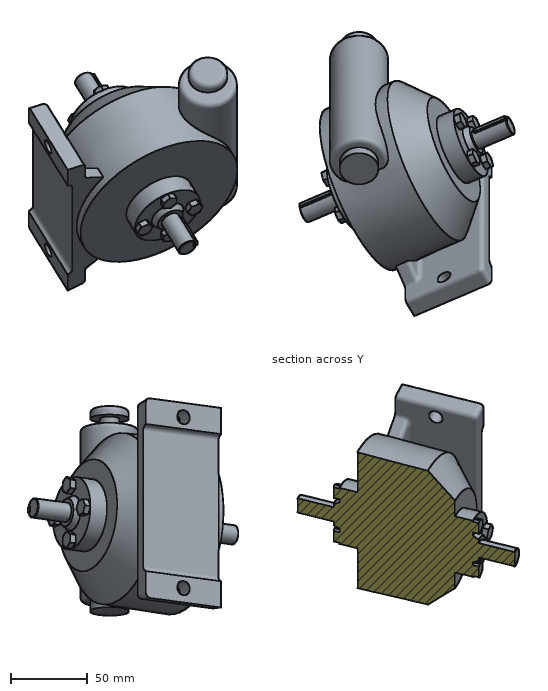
import cadquery as cq
import math


SIDES = (-1, 1)
EDGE_RADIUS = 3.2

SHAFT_LENGTH = 152.4
SHAFT_RADIUS = 6.4
SHAFT_CHAMFER = 0.5
KEY_WIDTH = 3.2
KEY_TOP = 7.6
KEY_HEIGHT = 3.2
KEY_SETBACK = 0.5
KEY_END = 52.5

CASE_END = 34.3
CASE_RADIUS = 57.2
CASE_DRAFT = 1.0
SHOULDER_X = -15.2
NOSE_RADIUS = 36.7

HUB_END = 46.8
HUB_RADIUS = 23.8
HEAD_HEIGHT = 4.1
COLLAR_BASE_RADIUS = 11.5
COLLAR_TIP_RADIUS = 9.1
BOLT_COUNT = 4
BOLT_FLATS = 9.6
BOLT_CORNERS = BOLT_FLATS / math.cos(math.radians(30))
BOLT_CIRCLE_RADIUS = HUB_RADIUS - BOLT_CORNERS / 2

WORM_X = 10.4
WORM_RADIUS = 19.0
WORM_Y = 47.5
CAP_RADIUS = 12.6
NECK_RADIUS = 6.4
CAP_TOP = 85.6
CAP_HEIGHT = 6.4
NECK_HEIGHT = 6.4
WORM_TOP = CAP_TOP - CAP_HEIGHT - NECK_HEIGHT
WORM_BOTTOM = -43.1
BOSS_HEIGHT = 6.4

FOOT_FACE_Y = -63.5
FOOT_THICKNESS = 12.6
FOOT_BACK_Y = FOOT_FACE_Y + FOOT_THICKNESS
FOOT_WIDTH = 57.2
FOOT_HALF_WIDTH = FOOT_WIDTH / 2
FOOT_HALF_HEIGHT = SHAFT_LENGTH - CAP_TOP
FOOT_DRAFT = 7.0
RECESS_DEPTH = 3.2
RECESS_HALF_HEIGHT = 49.2
RECESS_WALL_ANGLE = 30.0
MOUNT_HOLE_Z = 57.2
MOUNT_HOLE_DIAMETER = 9.5

WEB_THICKNESS = 10.0
WEB_HALF_HEIGHT = 50.5
WEB_SLOPE = 30.0
WEB_END_Y = -30.5


def frustum(x_start, x_end, radius_start, radius_end):
    """Solid of revolution about the X axis with a straight side."""
    return (
        cq.Workplane("XY")
        .moveTo(x_start, 0)
        .lineTo(x_start, radius_start)
        .lineTo(x_end, radius_end)
        .lineTo(x_end, 0)
        .close()
        .revolve(360, (0, 0, 0), (1, 0, 0))
    )


def vertical_cylinder(radius, z_bottom, z_top):
    """Cylinder on the worm axis."""
    return (
        cq.Workplane("XY", origin=(WORM_X, WORM_Y, z_bottom))
        .circle(radius)
        .extrude(z_top - z_bottom)
    )


def make_case():
    draft_loss = (CASE_END - SHOULDER_X) * math.tan(math.radians(CASE_DRAFT))
    shoulder_radius = CASE_RADIUS - draft_loss
    drum = frustum(SHOULDER_X, CASE_END, shoulder_radius, CASE_RADIUS)
    nose = frustum(-CASE_END, SHOULDER_X, NOSE_RADIUS, shoulder_radius)
    return drum.union(nose)


def make_shaft():
    """Shaft with a key and an open keyway at each end."""
    shaft = (
        cq.Workplane("YZ", origin=(-SHAFT_LENGTH / 2, 0, 0))
        .circle(SHAFT_RADIUS)
        .extrude(SHAFT_LENGTH)
        .faces("<X or >X")
        .chamfer(SHAFT_CHAMFER)
    )
    for side in SIDES:
        keyway = key_prism(side, SHAFT_LENGTH / 2)
        key = key_prism(side, SHAFT_LENGTH / 2 - KEY_SETBACK)
        shaft = shaft.cut(keyway).union(key)
    return shaft


def key_prism(side, outer_distance):
    """Key shape on the +Y side of one shaft end, rounded at its inner end."""
    outer_x = side * outer_distance
    round_center_x = side * (KEY_END + KEY_WIDTH / 2)
    half_width = KEY_WIDTH / 2
    return (
        cq.Workplane("XZ", origin=(0, KEY_TOP, 0))
        .moveTo(outer_x, -half_width)
        .lineTo(round_center_x, -half_width)
        .threePointArc((side * KEY_END, 0), (round_center_x, half_width))
        .lineTo(outer_x, half_width)
        .close()
        .extrude(KEY_HEIGHT)
    )


def make_hub(side):
    """Bearing hub with its seal collar and hexagon bolt heads."""
    head_end = HUB_END + HEAD_HEIGHT
    hub = frustum(0, side * HUB_END, HUB_RADIUS, HUB_RADIUS)
    collar = frustum(side * HUB_END, side * head_end, COLLAR_BASE_RADIUS, COLLAR_TIP_RADIUS)
    bolts = (
        cq.Workplane("YZ", origin=(side * HUB_END, 0, 0))
        .polarArray(BOLT_CIRCLE_RADIUS, 0, 360, BOLT_COUNT)
        .polygon(6, BOLT_CORNERS)
        .extrude(side * HEAD_HEIGHT)
    )
    return hub.union(collar).union(bolts)


def make_worm_housing():
    barrel = vertical_cylinder(WORM_RADIUS, WORM_BOTTOM, WORM_TOP)
    barrel = barrel.edges("%CIRCLE").fillet(EDGE_RADIUS)
    boss = vertical_cylinder(CAP_RADIUS, WORM_BOTTOM - BOSS_HEIGHT, WORM_BOTTOM)
    neck = vertical_cylinder(NECK_RADIUS, WORM_TOP, CAP_TOP - CAP_HEIGHT)
    cap = vertical_cylinder(CAP_RADIUS, CAP_TOP - CAP_HEIGHT, CAP_TOP)
    cap = cap.faces(">Z").edges().fillet(EDGE_RADIUS)
    return barrel.union(boss).union(neck).union(cap)


def symmetric_prism(profile, x_start, x_end):
    """Extrude a polygon along X; profile gives its (Y, Z) corners above Z = 0."""
    mirrored = [(y, -z) for y, z in reversed(profile)]
    return (
        cq.Workplane("YZ", origin=(x_start, 0, 0))
        .polyline(profile + mirrored)
        .close()
        .extrude(x_end - x_start)
    )


def make_foot():
    back_half_height = FOOT_HALF_HEIGHT - FOOT_THICKNESS * math.tan(math.radians(FOOT_DRAFT))
    plate = symmetric_prism(
        [(FOOT_FACE_Y, FOOT_HALF_HEIGHT), (FOOT_BACK_Y, back_half_height)],
        -FOOT_HALF_WIDTH,
        FOOT_HALF_WIDTH,
    )
    plate = plate.faces("<X").edges("<Z or >Z").fillet(EDGE_RADIUS)
    plate = plate.faces(">Y").edges("not >X").fillet(EDGE_RADIUS)

    web_x = FOOT_HALF_WIDTH - WEB_THICKNESS
    web_drop = (WEB_END_Y - FOOT_BACK_Y) * math.tan(math.radians(WEB_SLOPE))
    web = symmetric_prism(
        [(FOOT_BACK_Y, WEB_HALF_HEIGHT), (WEB_END_Y, WEB_HALF_HEIGHT - web_drop)],
        web_x,
        FOOT_HALF_WIDTH,
    )
    web = web.faces("<X").edges("<Z or >Z").fillet(EDGE_RADIUS)
    foot = plate.union(web)

    margin = 0.2
    web_root = cq.selectors.BoxSelector(
        (web_x - margin, FOOT_BACK_Y - margin, -WEB_HALF_HEIGHT - margin),
        (FOOT_HALF_WIDTH - margin, FOOT_BACK_Y + margin, WEB_HALF_HEIGHT + margin),
    )
    foot = foot.edges(web_root).fillet(EDGE_RADIUS)

    wall_shift = RECESS_DEPTH * math.tan(math.radians(RECESS_WALL_ANGLE))
    floor_y = FOOT_FACE_Y + RECESS_DEPTH
    recess = symmetric_prism(
        [(FOOT_FACE_Y, RECESS_HALF_HEIGHT), (floor_y, RECESS_HALF_HEIGHT - wall_shift)],
        -FOOT_HALF_WIDTH,
        FOOT_HALF_WIDTH,
    )
    recess = recess.faces(">Y").edges("|X").fillet(EDGE_RADIUS)

    holes = (
        cq.Workplane("XZ", origin=(0, FOOT_BACK_Y, 0))
        .pushPoints([(0, side * MOUNT_HOLE_Z) for side in SIDES])
        .circle(MOUNT_HOLE_DIAMETER / 2)
        .extrude(FOOT_THICKNESS)
    )
    return foot.cut(recess).cut(holes)


result = make_case().union(make_shaft())
for end in SIDES:
    result = result.union(make_hub(end))
result = result.union(make_worm_housing()).union(make_foot())